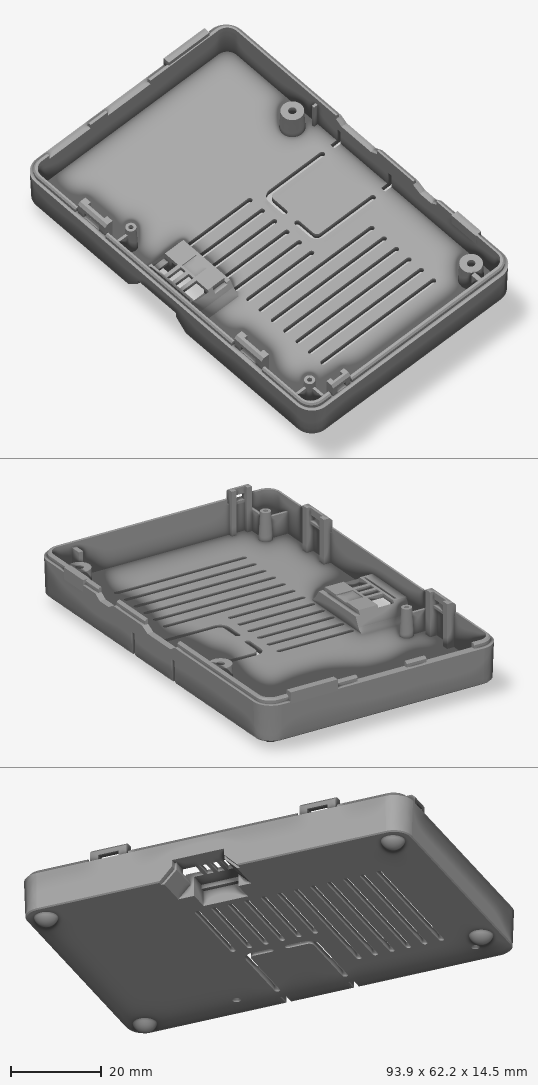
import cadquery as cq
import math

LENGTH = 93.9
WIDTH = 62.2
RIM_Z = 9.0
LIP_Z = 10.2
FLOOR = 1.5
CORNER_R = 4.6
WALL_X, WALL_Y = 2.0, 1.6
STEP_X, STEP_Y = 0.9, 0.75
BOTTOM_CHAMFER = 0.3
DRAFT_DEG = 2.0
OVERLAP = 0.5

INNER_X = LENGTH / 2 - WALL_X
INNER_Y = WIDTH / 2 - WALL_Y
LIP_X = LENGTH / 2 - STEP_X
LIP_Y = WIDTH / 2 - STEP_Y


def box(x0, x1, y0, y1, z0, z1):
    """Axis-aligned block between opposite corners."""
    return cq.Workplane("XY").box(x1 - x0, y1 - y0, z1 - z0, centered=False).translate((x0, y0, z0))


def disc(x, y, radius, z0, z1):
    """Vertical cylinder from z0 to z1."""
    return cq.Workplane("XY").center(x, y).circle(radius).extrude(z1 - z0).translate((0, 0, z0))


def rounded_block(half_x, half_y, radius, z0, z1):
    """Block centred on the origin with rounded vertical edges."""
    return box(-half_x, half_x, -half_y, half_y, z0, z1).edges("|Z").fillet(radius)


def along_y(points, y0, y1):
    """Prism with an XZ outline, running from y0 to y1."""
    return cq.Workplane("XZ", origin=(0, y1, 0)).polyline(points).close().extrude(y1 - y0)


LIP_CORNER_R = 3.7
LIP_CHAMFER = 0.4
INNER_CORNER_R = 2.8
LEFT_LIP_GAPS = [(-24.4, -11.9), (-6.8, 6.1)]


def tray():
    shell = (
        cq.Workplane("XY", origin=(0, 0, RIM_Z))
        .sketch().rect(LENGTH, WIDTH).vertices().fillet(CORNER_R).finalize()
        .extrude(-RIM_Z, taper=DRAFT_DEG)
        .faces("<Z").chamfer(BOTTOM_CHAMFER)
    )
    lip = rounded_block(LIP_X, LIP_Y, LIP_CORNER_R, FLOOR, LIP_Z).faces(">Z").chamfer(LIP_CHAMFER)
    cavity = rounded_block(INNER_X, INNER_Y, INNER_CORNER_R, FLOOR, LIP_Z)
    body = shell.union(lip).cut(cavity)
    for y0, y1 in LEFT_LIP_GAPS:
        body = body.cut(box(-LENGTH / 2, -INNER_X, y0, y1, RIM_Z, LIP_Z))
    return body


FOOT_R = 2.7
FOOT_DEPTH = 2.0
FOOT_X = 42.1
FOOT_Y = 26.4
FOOT_CLEAR_Y = 20.7
FOOT_SPOTS = [(-FOOT_X, -FOOT_Y), (FOOT_X, -FOOT_Y), (-FOOT_X, FOOT_Y), (FOOT_X, FOOT_CLEAR_Y)]


def foot(x, y):
    """Spherical cap under the floor."""
    ball_r = (FOOT_R ** 2 + FOOT_DEPTH ** 2) / (2 * FOOT_DEPTH)
    ball = cq.Workplane("XY").sphere(ball_r).translate((x, y, ball_r - FOOT_DEPTH))
    return ball.intersect(box(x - FOOT_R, x + FOOT_R, y - FOOT_R, y + FOOT_R, -FOOT_DEPTH, OVERLAP))


POST_X_LEFT, POST_X_RIGHT = -19.2, 38.8
BOSS_Y = 24.9
BOSS_R = 2.9
BOSS_TOP_R = 2.6
BOSS_HOLE_R = 0.9
BOSS_Z = 7.3
PEG_Y = -23.85
PEG_R = 1.6
PEG_TOP_R = 1.2
PEG_Z = 8.45
PEG_HOLE_R = 0.6
PEG_HOLE_Z = 3.8
GUSSET = 0.7
GUSSET_Z = 6.9


def tapered_post(x, y, base_r, top_r, top_z):
    """Round post standing on the floor, narrower at the top."""
    profile = [(0, FLOOR / 2), (base_r, FLOOR / 2), (base_r, FLOOR), (top_r, top_z), (0, top_z)]
    return cq.Workplane("XZ").polyline(profile).close().revolve(360, (0, 0), (0, 1)).translate((x, y, 0))


def screw_boss(x):
    return tapered_post(x, BOSS_Y, BOSS_R, BOSS_TOP_R, BOSS_Z)


def peg(x):
    """Hollow peg tied to the front wall by a gusset."""
    post = tapered_post(x, PEG_Y, PEG_R, PEG_TOP_R, PEG_Z)
    gusset = box(x - GUSSET / 2, x + GUSSET / 2, -INNER_Y - OVERLAP, PEG_Y, FLOOR / 2, GUSSET_Z)
    return post.union(gusset)


CLIP_Z = 12.5
CLIP_CHAMFER = 0.7
CLIP_WINDOW_Z0, CLIP_WINDOW_Z1 = 9.2, 10.8
FRONT_CLIP_X = 25.35
FRONT_CLIP_W = 8.8
RIGHT_CLIP_Y = -20.8
RIGHT_CLIP_W = 5.3


def clip(width, bar_thick, post_thick, post_width, window_width):
    """Snap clip along X: outer face at y = 0, body toward +Y, posts standing on the floor."""
    bar = box(-width / 2, width / 2, 0, bar_thick, RIM_Z - OVERLAP, CLIP_Z)
    for side in (-1, 1):
        post_x = side * (width - post_width) / 2
        bar = bar.union(
            box(post_x - post_width / 2, post_x + post_width / 2, 0, post_thick, FLOOR / 2, CLIP_Z)
        )
    bar = bar.faces(">Z").edges("<Y").chamfer(CLIP_CHAMFER)
    window = box(-window_width / 2, window_width / 2, 0, post_thick, CLIP_WINDOW_Z0, CLIP_WINDOW_Z1)
    return bar.cut(window)


GAP_MARGIN = 0.5
FRONT_CLIP_SETBACK = 0.4
FRONT_CLIP = dict(bar_thick=1.4, post_thick=2.3, post_width=1.8, window_width=5.0)
RIGHT_CLIP = dict(bar_thick=1.2, post_thick=2.2, post_width=1.2, window_width=2.7)


def add_clips(body):
    front_gap = FRONT_CLIP_W / 2 + GAP_MARGIN
    right_gap = RIGHT_CLIP_W / 2 + GAP_MARGIN
    body = body.cut(
        box(INNER_X, LENGTH / 2, RIGHT_CLIP_Y - right_gap, RIGHT_CLIP_Y + right_gap, RIM_Z, LIP_Z)
    )
    for x in (-FRONT_CLIP_X, FRONT_CLIP_X):
        body = body.cut(box(x - front_gap, x + front_gap, -WIDTH / 2, -INNER_Y, RIM_Z, LIP_Z))
        body = body.union(clip(FRONT_CLIP_W, **FRONT_CLIP).translate((x, FRONT_CLIP_SETBACK - LIP_Y, 0)))
    right = clip(RIGHT_CLIP_W, **RIGHT_CLIP).rotate((0, 0, 0), (0, 0, 1), 90)
    return body.union(right.translate((LIP_X, RIGHT_CLIP_Y, 0)))


TAB_THICK = 1.7
LEFT_TAB_Z = 11.4
BACK_TAB_Z0 = 7.3
BACK_TAB_PROUD = 0.2
BACK_FIN_Z = 8.5
LEFT_TAB = box(-LENGTH / 2, TAB_THICK - LENGTH / 2, 11.9, 24.2, RIM_Z - OVERLAP, LEFT_TAB_Z)
BACK_TAB = box(27.7, 35.4, INNER_Y - BACK_TAB_PROUD, WIDTH / 2, BACK_TAB_Z0, LIP_Z)
RIGHT_FIN = box(42.2, INNER_X + OVERLAP, 21.8, 22.9, FLOOR / 2, RIM_Z)
PEG_GUSSET = box(
    POST_X_RIGHT, INNER_X + OVERLAP, PEG_Y - GUSSET / 2, PEG_Y + GUSSET / 2, FLOOR / 2, GUSSET_Z
)
BACK_FIN = box(-16.5, -15.9, 28.4, INNER_Y + OVERLAP, FLOOR / 2, BACK_FIN_Z)


NOTCH_Z = 7.9
NOTCHES = [(-10.0, -8.2, 1.3, 3.4), (15.0, 17.3, 20.8, 22.5)]


def back_notch(left_top, left_bottom, right_bottom, right_top):
    """Sloped dip that also removes the lip above it."""
    outline = [
        (left_top, LIP_Z),
        (left_top, RIM_Z),
        (left_bottom, NOTCH_Z),
        (right_bottom, NOTCH_Z),
        (right_top, RIM_Z),
        (right_top, LIP_Z),
    ]
    return along_y(outline, INNER_Y - OVERLAP, WIDTH / 2)


VENT_W = 1.2
VENT_PITCH = 4.0
VENT_X0 = -10.6
VENT_Y0 = -15.4
SHORT_VENT_Y1, LONG_VENT_Y1 = 4.7, 19.2
SHORT_VENTS, VENTS = 6, 12

TRACE_W = 1.3
TRACE_X0, TRACE_X1 = -9.8, 8.0
TRACE_Y0, TRACE_Y1 = 6.9, 25.2
TRACE_BRIDGE = (-2.35, 0.5)
TRACE_R = 2.4
LATCH_Y = 27.6
LATCH_Z = 5.6


def vents():
    """Row of round-ended slots: short ones on the left, long ones on the right."""
    slots = cq.Workplane("XY")
    for i in range(VENTS):
        y1 = SHORT_VENT_Y1 if i < SHORT_VENTS else LONG_VENT_Y1
        center = (VENT_X0 + i * VENT_PITCH, (VENT_Y0 + y1) / 2)
        slots = slots.add(cq.Workplane("XY").center(*center).slot2D(y1 - VENT_Y0, VENT_W, 90).extrude(FLOOR))
    return slots.combine()


def u_slots():
    """Two L-shaped, round-ended slots that together outline a U in the floor."""
    half_w = TRACE_W / 2
    tip_y = TRACE_Y1 - half_w
    foot_y = TRACE_Y0 + half_w
    gap_x0, gap_x1 = TRACE_BRIDGE[0] - half_w, TRACE_BRIDGE[1] + half_w
    outer = box(TRACE_X0, TRACE_X1, TRACE_Y0, tip_y, 0, FLOOR).edges("|Z and <Y").fillet(TRACE_R)
    inner = box(
        TRACE_X0 + TRACE_W, TRACE_X1 - TRACE_W, TRACE_Y0 + TRACE_W, tip_y, 0, FLOOR
    ).edges("|Z and <Y").fillet(TRACE_R - TRACE_W)
    slots = outer.cut(inner).cut(box(gap_x0, gap_x1, TRACE_Y0, TRACE_Y0 + TRACE_W, 0, FLOOR))
    ends = [(TRACE_X0 + half_w, tip_y), (TRACE_X1 - half_w, tip_y), (gap_x0, foot_y), (gap_x1, foot_y)]
    for x, y in ends:
        slots = slots.union(disc(x, y, half_w, 0, FLOOR))
    return slots


def latch_slots():
    """Slots that run out of the floor and up through the back wall."""
    left = box(TRACE_X0, TRACE_X0 + TRACE_W, LATCH_Y, WIDTH / 2, 0, LATCH_Z)
    right = box(TRACE_X1 - TRACE_W, TRACE_X1, LATCH_Y, WIDTH / 2, 0, LATCH_Z)
    return left.union(right)


BAY_X = -3.2
BAY_BACK_Y = -15.9
BAY_LEDGE_Y = -17.0
BAY_SKIN = 1.0
BAY_FRONT_Y = -WIDTH / 2
MOUTH_HALF = 6.3
MOUTH_FLARE_HALF = 9.6
MOUTH_Z = 4.8
LEDGE_DROP = 1.0
COVER_Z = MOUTH_Z + BAY_SKIN
COVER_FOOT_HALF = 10.4
COVER_KNEE_HALF = 8.7
COVER_KNEE_Z = FLOOR + COVER_FOOT_HALF - COVER_KNEE_HALF
COVER_TOP_HALF = 6.95
FOOT_ARC_R = 2.1
FOOT_SWEEP = math.radians(58)
CAVITY_HALF = 5.8
CAVITY_FLARE_HALF = 8.8
POCKET_X0, POCKET_X1 = -8.2, 2.5
WINDOW_Y0, WINDOW_Y1 = -26.1, -22.0
WINDOW_SILL_Z = 3.8


def bay_cover():
    """Raised cover over the bay: curved left foot, sloped right foot, lower ledge at the rear."""
    foot_x = BAY_X - COVER_FOOT_HALF
    mid_angle = FOOT_SWEEP / 2
    cover = (
        cq.Workplane("XZ", origin=(0, BAY_BACK_Y, 0))
        .moveTo(foot_x, 0)
        .lineTo(foot_x, FLOOR)
        .threePointArc(
            (foot_x + FOOT_ARC_R * math.sin(mid_angle), FLOOR + FOOT_ARC_R * (1 - math.cos(mid_angle))),
            (foot_x + FOOT_ARC_R * math.sin(FOOT_SWEEP), FLOOR + FOOT_ARC_R * (1 - math.cos(FOOT_SWEEP))),
        )
        .lineTo(BAY_X - COVER_TOP_HALF, COVER_Z)
        .lineTo(BAY_X + COVER_TOP_HALF, COVER_Z)
        .lineTo(BAY_X + COVER_KNEE_HALF, COVER_KNEE_Z)
        .lineTo(BAY_X + COVER_FOOT_HALF, FLOOR)
        .lineTo(BAY_X + COVER_FOOT_HALF, 0)
        .close()
        .extrude(INNER_Y + OVERLAP + BAY_BACK_Y)
    )
    ledge = box(
        BAY_X - COVER_FOOT_HALF, BAY_X + COVER_FOOT_HALF,
        BAY_LEDGE_Y, BAY_BACK_Y, COVER_Z - LEDGE_DROP, COVER_Z,
    )
    return cover.cut(ledge)


def bay_cut(half, flare_half, height, y0, y1):
    """Passage with 45-degree flares along its open bottom."""
    flare_z = flare_half - half
    outline = [
        (BAY_X - flare_half, 0),
        (BAY_X - half, flare_z),
        (BAY_X - half, height),
        (BAY_X + half, height),
        (BAY_X + half, flare_z),
        (BAY_X + flare_half, 0),
    ]
    return along_y(outline, y0, y1)


def bay_cavity():
    """Flared mouth through the front wall, then a cavity and a narrower stepped pocket."""
    mouth = bay_cut(MOUTH_HALF, MOUTH_FLARE_HALF, MOUTH_Z, BAY_FRONT_Y, -INNER_Y)
    cavity = bay_cut(CAVITY_HALF, CAVITY_FLARE_HALF, MOUTH_Z, -INNER_Y, WINDOW_Y1)
    pocket = box(POCKET_X0, POCKET_X1, WINDOW_Y1, BAY_LEDGE_Y - BAY_SKIN, 0, MOUTH_Z)
    pocket_end = box(POCKET_X0, POCKET_X1, WINDOW_Y1, BAY_BACK_Y - BAY_SKIN, 0, MOUTH_Z - LEDGE_DROP)
    return mouth.union(cavity).union(pocket).union(pocket_end)


WINDOWS = [(-10.4, -5.9), (-5.0, -3.4), (-2.4, -0.8), (0.1, 4.0)]


def bay_windows():
    cuts = cq.Workplane("XY")
    for x0, x1 in WINDOWS:
        cuts = cuts.add(box(x0, x1, WINDOW_Y0, WINDOW_Y1, WINDOW_SILL_Z, COVER_Z))
    return cuts.combine()


RECESS_DEPTH = 0.3
GROOVE_DEPTH = 0.5
GROOVE_HALF = 6.4
SIDE_RECESS_Z = 4.3
COVER_RECESS = box(-5.2, -0.8, -21.4, BAY_LEDGE_Y, COVER_Z - RECESS_DEPTH, COVER_Z)
COVER_GROOVE = box(BAY_X - GROOVE_HALF, BAY_X + GROOVE_HALF, -27.3, -26.8, COVER_Z - GROOVE_DEPTH, COVER_Z)
COVER_SIDE_RECESS = box(BAY_X + COVER_TOP_HALF, 4.8, -20.7, BAY_LEDGE_Y, SIDE_RECESS_Z, COVER_Z)


body = tray()
for x, y in FOOT_SPOTS:
    body = body.union(foot(x, y))
for notch in NOTCHES:
    body = body.cut(back_notch(*notch))
for part in (LEFT_TAB, BACK_TAB, RIGHT_FIN, PEG_GUSSET, BACK_FIN, bay_cover()):
    body = body.union(part)
body = add_clips(body)
for x in (POST_X_LEFT, POST_X_RIGHT):
    body = body.union(screw_boss(x)).cut(disc(x, BOSS_Y, BOSS_HOLE_R, 0, BOSS_Z))
    body = body.union(peg(x)).cut(disc(x, PEG_Y, PEG_HOLE_R, PEG_HOLE_Z, PEG_Z))
for cutter in (vents(), u_slots(), latch_slots(), bay_cavity(), bay_windows()):
    body = body.cut(cutter)
for cutter in (COVER_RECESS, COVER_GROOVE, COVER_SIDE_RECESS):
    body = body.cut(cutter)
result = body